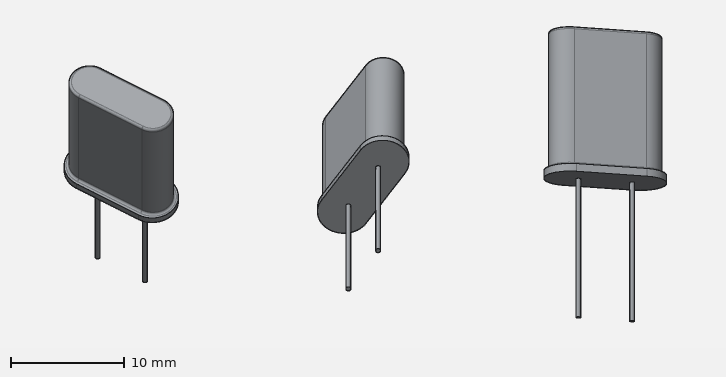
import cadquery as cq

TOTAL_HEIGHT = 26.15

PIN_LENGTH = 12.71
PIN_DIAMETER = 0.45
PIN_SPACING = 4.9

FLANGE_LENGTH = 11.05
FLANGE_WIDTH = 4.65
FLANGE_THICKNESS = 0.7

CAN_LENGTH = 10.23
CAN_WIDTH = 3.7
CAN_HEIGHT = TOTAL_HEIGHT - PIN_LENGTH - FLANGE_THICKNESS
EDGE_RADIUS = 0.24


def stadium_prism(length, width, height, base_z):
    """Upright prism with two flat sides and two half-round ends."""
    return (
        cq.Workplane("XY")
        .workplane(offset=base_z)
        .slot2D(length, width)
        .extrude(height)
    )


def make_housing():
    """Flange and can as one solid; the underside of the flange lies at Z = 0."""
    flange = stadium_prism(FLANGE_LENGTH, FLANGE_WIDTH, FLANGE_THICKNESS, 0)
    can = stadium_prism(CAN_LENGTH, CAN_WIDTH, CAN_HEIGHT, FLANGE_THICKNESS)
    can = can.faces(">Z").edges().fillet(EDGE_RADIUS)
    housing = flange.union(can)

    ledge = housing.faces("|Z").faces(">Z[1]")
    foot = ledge.val().innerWires()[0]
    return housing.newObject(foot.Edges()).fillet(EDGE_RADIUS)


def make_pin(center_x):
    """Round wire pin hanging from the underside of the flange."""
    return (
        cq.Workplane("XY")
        .center(center_x, 0)
        .circle(PIN_DIAMETER / 2)
        .extrude(-PIN_LENGTH)
    )


housing = make_housing()
pins = [make_pin(side * PIN_SPACING / 2) for side in (-1, 1)]

result = cq.Compound.makeCompound([housing.val(), *[pin.val() for pin in pins]])